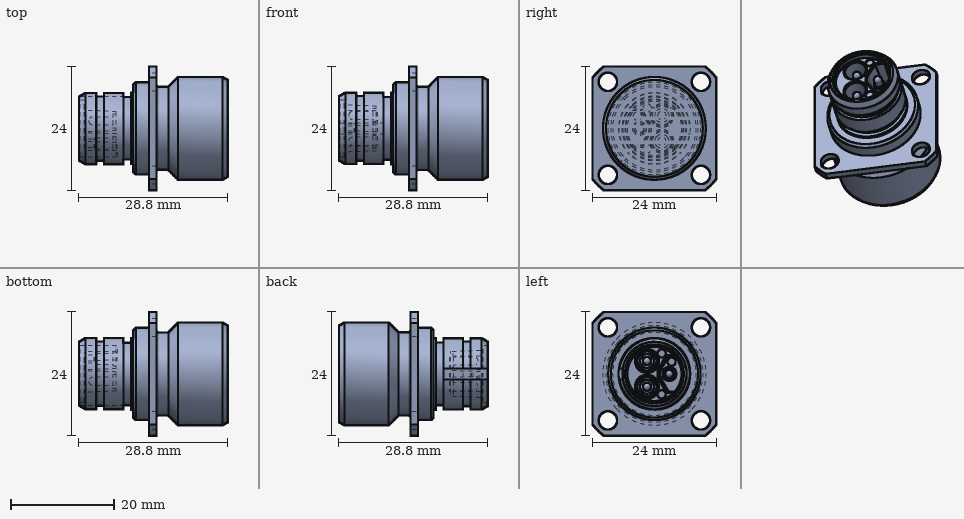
import cadquery as cq
import math

LENGTH = 28.8

PLUG_RADIUS = 6.95
PLUG_LEAD_LENGTH = 1.25
LEAD_ANGLE = math.radians(30)
LATCH_GROOVE_START = 3.3
LATCH_GROOVE_END = 4.8
LATCH_GROOVE_RADIUS = 6.28
LATCH_LIP_CHAMFER = 0.1
SEAL_GROOVE_START = 8.58
SEAL_GROOVE_END = 10.02
SEAL_GROOVE_RADIUS = 6.08
KEYWAY_WIDTH = 2.1
KEYWAY_FLOOR = 6.15

COLLAR_START = 10.48
COLLAR_RADIUS = 8.95
COLLAR_CHAMFER = 0.52
FLANGE_START = 13.5
FLANGE_END = 15.0
FLANGE_SIDE = 24.0
FLANGE_CORNER_RADIUS = 15.5
MOUNT_HOLE_SPACING = 18.0
MOUNT_HOLE_DIAMETER = 3.5

NECK_RADIUS = 8.05
NECK_FILLET = 0.3
NECK_END = 17.28
BODY_RADIUS = 9.96
BODY_LEAD_LENGTH = 1.05

BORE_RADIUS = 5.5
BORE_CHAMFER = 0.2
INSERT_FACE = 0.95
INSERT_CHAMFER = 0.25
POCKET_FLOOR = 7.2
POCKET_MOUTH_RADIUS = 2.3
POCKET_CHAMFER = 0.23
POCKET_DRAFT_INSET = 0.23
POCKET_WALL_RADIUS = POCKET_MOUTH_RADIUS - POCKET_CHAMFER
POCKET_FLOOR_RADIUS = POCKET_WALL_RADIUS - POCKET_DRAFT_INSET
EARTH_POCKET_HALF_HEIGHT = 3.65
EARTH_FLANK_ANGLE = math.radians(60)

CONTACT_PITCH_RADIUS = 2.88
CONTACT_COUNT = 3
PIN_RADIUS = 0.8
EARTH_PIN_TIP = 0.95
EARTH_SHANK_RADIUS = 1.07
EARTH_SHANK_START = 2.88
LINE_PIN_TIP = 1.9
PIN_COLLAR_RADIUS = 1.35
PIN_COLLAR_HEIGHT = 0.58

LABEL_RADIUS = 0.8
LABEL_DEPTH = 0.2
LINE_LABEL_Y = -1.4
LINE_LABEL_Z = 3.95
EARTH_LABEL_Y = -3.3
EARTH_LABEL_Z = 2.35


def cylinder(start, end, radius, y=0.0, z=0.0):
    """Cylinder along X between two stations."""
    return cq.Workplane("YZ", origin=(start, y, z)).circle(radius).extrude(end - start)


def circle_outline(station, radius, y=0.0, z=0.0):
    return cq.Workplane("YZ", origin=(station, y, z)).circle(radius)


def loft_between(start, end):
    """Straight-sided solid between two outlines."""
    wires = [start.wire().val(), end.wire().val()]
    return cq.Workplane(cq.Solid.makeLoft(wires, True))


def make_shell():
    """Turned outside of the connector, without the flange."""
    plug_nose_radius = PLUG_RADIUS - PLUG_LEAD_LENGTH * math.tan(LEAD_ANGLE)
    body_end_radius = BODY_RADIUS - BODY_LEAD_LENGTH * math.tan(LEAD_ANGLE)
    cone_end = NECK_END + BODY_RADIUS - NECK_RADIUS
    fillet_mid = NECK_FILLET * (1 - math.sqrt(0.5))
    return (
        cq.Workplane("XY")
        .moveTo(0, 0)
        .lineTo(0, plug_nose_radius)
        .lineTo(PLUG_LEAD_LENGTH, PLUG_RADIUS)
        .lineTo(LATCH_GROOVE_START, PLUG_RADIUS)
        .lineTo(LATCH_GROOVE_START + LATCH_LIP_CHAMFER, PLUG_RADIUS - LATCH_LIP_CHAMFER)
        .lineTo(LATCH_GROOVE_START + LATCH_LIP_CHAMFER, LATCH_GROOVE_RADIUS)
        .lineTo(LATCH_GROOVE_END, LATCH_GROOVE_RADIUS)
        .lineTo(LATCH_GROOVE_END, PLUG_RADIUS)
        .lineTo(SEAL_GROOVE_START, PLUG_RADIUS)
        .lineTo(SEAL_GROOVE_START, SEAL_GROOVE_RADIUS)
        .lineTo(SEAL_GROOVE_END, SEAL_GROOVE_RADIUS)
        .lineTo(SEAL_GROOVE_END, PLUG_RADIUS)
        .lineTo(COLLAR_START, PLUG_RADIUS)
        .lineTo(COLLAR_START, COLLAR_RADIUS - COLLAR_CHAMFER)
        .lineTo(COLLAR_START + COLLAR_CHAMFER, COLLAR_RADIUS)
        .lineTo(FLANGE_END, COLLAR_RADIUS)
        .lineTo(FLANGE_END, NECK_RADIUS + NECK_FILLET)
        .threePointArc(
            (FLANGE_END + fillet_mid, NECK_RADIUS + fillet_mid),
            (FLANGE_END + NECK_FILLET, NECK_RADIUS),
        )
        .lineTo(NECK_END, NECK_RADIUS)
        .lineTo(cone_end, BODY_RADIUS)
        .lineTo(LENGTH - BODY_LEAD_LENGTH, BODY_RADIUS)
        .lineTo(LENGTH, body_end_radius)
        .lineTo(LENGTH, 0)
        .close()
        .revolve(360, (0, 0, 0), (1, 0, 0))
    )


def make_flange():
    """Square plate whose corners are trimmed to a circle."""
    thickness = FLANGE_END - FLANGE_START
    outline = cq.Workplane("YZ", origin=(FLANGE_START, 0, 0)).rect(FLANGE_SIDE, FLANGE_SIDE)
    plate = outline.extrude(thickness)
    return plate.intersect(cylinder(FLANGE_START, FLANGE_END, FLANGE_CORNER_RADIUS))


def make_mount_holes():
    """Round holes near the four flange corners."""
    return (
        cq.Workplane("YZ", origin=(FLANGE_START, 0, 0))
        .rect(MOUNT_HOLE_SPACING, MOUNT_HOLE_SPACING, forConstruction=True)
        .vertices()
        .circle(MOUNT_HOLE_DIAMETER / 2)
        .extrude(FLANGE_END - FLANGE_START)
    )


def make_keyway():
    """Slot along the +Y side of the plug, stopping at the ring behind the seal groove."""
    slot = cq.Workplane("XY", origin=(0, KEYWAY_FLOOR, 0))
    return slot.box(SEAL_GROOVE_END, PLUG_RADIUS, KEYWAY_WIDTH, centered=(False, False, True))


def make_bore():
    """Bore in front of the insert, with a chamfered mouth."""
    mouth = loft_between(
        circle_outline(0, BORE_RADIUS + BORE_CHAMFER),
        circle_outline(BORE_CHAMFER, BORE_RADIUS),
    )
    return cylinder(0, INSERT_FACE, BORE_RADIUS).union(mouth)


def make_gutter(station):
    """V-shaped ring cut against the bore wall, leaving a 45 degree chamfer on the face at the station."""
    return (
        cq.Workplane("XY")
        .moveTo(station, BORE_RADIUS - INSERT_CHAMFER)
        .lineTo(station, BORE_RADIUS)
        .lineTo(station + INSERT_CHAMFER, BORE_RADIUS)
        .close()
        .revolve(360, (0, 0, 0), (1, 0, 0))
    )


def earth_outline(station, radius):
    """Round nose about the earth contact, two sloped flanks and two level sides running out to -Y.

    The level sides move in for the mouth chamfer but have no draft below it.
    """
    inset = min(POCKET_MOUTH_RADIUS - radius, POCKET_CHAMFER)
    half_height = EARTH_POCKET_HALF_HEIGHT - inset
    tangent_y = radius * math.sin(EARTH_FLANK_ANGLE)
    tangent_z = radius * math.cos(EARTH_FLANK_ANGLE)
    shoulder_y = tangent_y - (half_height - tangent_z) / math.tan(EARTH_FLANK_ANGLE)
    outer_y = -2 * CONTACT_PITCH_RADIUS
    return (
        cq.Workplane("YZ", origin=(station, -CONTACT_PITCH_RADIUS, 0))
        .moveTo(outer_y, half_height)
        .lineTo(shoulder_y, half_height)
        .lineTo(tangent_y, tangent_z)
        .threePointArc((radius, 0), (tangent_y, -tangent_z))
        .lineTo(shoulder_y, -half_height)
        .lineTo(outer_y, -half_height)
        .close()
    )


def make_pocket(outline, *place):
    """Pocket with a 45 degree mouth chamfer and drafted walls; outline draws its section."""
    wall_start = INSERT_FACE + POCKET_CHAMFER
    mouth = loft_between(
        outline(INSERT_FACE, POCKET_MOUTH_RADIUS, *place),
        outline(wall_start, POCKET_WALL_RADIUS, *place),
    )
    wall = loft_between(
        outline(wall_start, POCKET_WALL_RADIUS, *place),
        outline(POCKET_FLOOR, POCKET_FLOOR_RADIUS, *place),
    )
    return mouth.union(wall)


def make_pin(tip, y, z):
    """Contact pin with a domed tip, standing on a low round collar."""
    dome_centre = tip + PIN_RADIUS
    dome = cq.Workplane("XY").sphere(PIN_RADIUS).translate((dome_centre, y, z))
    shank = cylinder(dome_centre, POCKET_FLOOR, PIN_RADIUS, y, z)
    collar = cylinder(POCKET_FLOOR - PIN_COLLAR_HEIGHT, POCKET_FLOOR, PIN_COLLAR_RADIUS, y, z)
    return shank.union(dome).union(collar)


def make_earth_shank():
    """Thicker rear part of the earth pin, with a 45 degree shoulder."""
    shoulder = EARTH_SHANK_RADIUS - PIN_RADIUS
    shank = cylinder(EARTH_SHANK_START, POCKET_FLOOR, EARTH_SHANK_RADIUS, -CONTACT_PITCH_RADIUS)
    return shank.faces("<X").chamfer(shoulder)


def make_label(face, y, z):
    """Shallow round recess below the given face."""
    return cylinder(face, face + LABEL_DEPTH, LABEL_RADIUS, y, z)


result = make_shell().union(make_flange()).cut(make_mount_holes()).cut(make_keyway())
result = result.cut(make_bore()).cut(make_gutter(INSERT_FACE))

bore_limit = cylinder(INSERT_FACE, POCKET_FLOOR, BORE_RADIUS)
floor_zone = earth_outline(POCKET_FLOOR, POCKET_FLOOR_RADIUS).extrude(INSERT_CHAMFER)
result = result.cut(make_pocket(earth_outline).intersect(bore_limit))
result = result.cut(make_gutter(POCKET_FLOOR).intersect(floor_zone))
result = result.union(make_pin(EARTH_PIN_TIP, -CONTACT_PITCH_RADIUS, 0)).union(make_earth_shank())
result = result.cut(make_label(POCKET_FLOOR, EARTH_LABEL_Y, EARTH_LABEL_Z))

line_angle = math.pi / CONTACT_COUNT
line_y = CONTACT_PITCH_RADIUS * math.cos(line_angle)
line_z = CONTACT_PITCH_RADIUS * math.sin(line_angle)
for side in (1, -1):
    result = result.cut(make_pocket(circle_outline, line_y, side * line_z))
    result = result.union(make_pin(LINE_PIN_TIP, line_y, side * line_z))
    result = result.cut(make_label(INSERT_FACE, LINE_LABEL_Y, side * LINE_LABEL_Z))